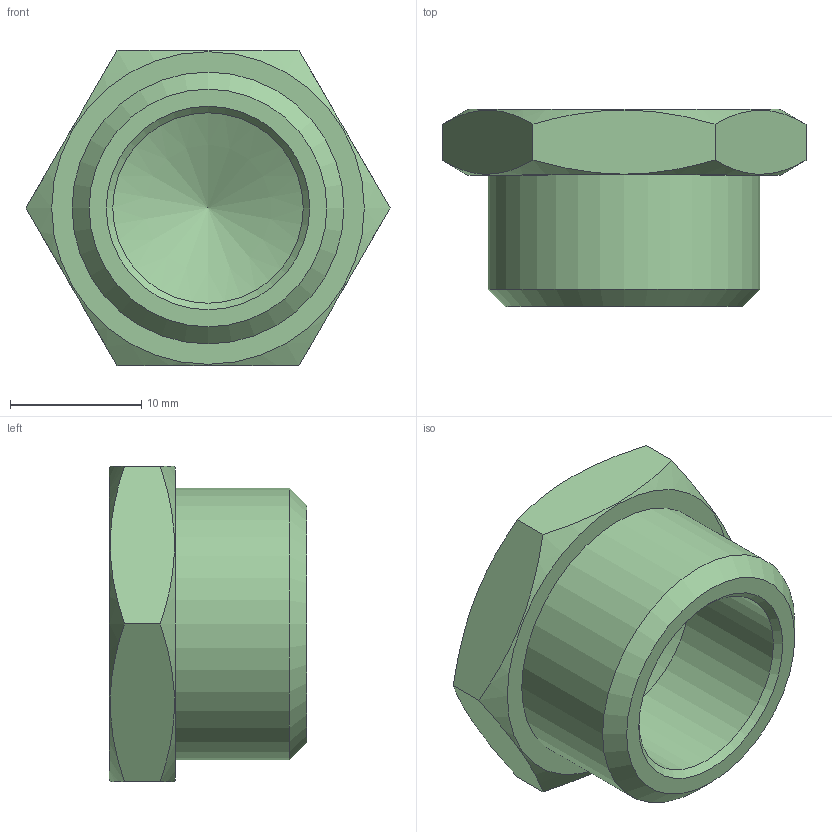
import cadquery as cq
import math

across_flats = 24.0
head_thickness = 5.0
head_face_diameter = 23.8
head_chamfer_angle = 30.0
envelope_clearance = 1.0
hexagon_sides = 6

shank_length = 10.0
shank_diameter = 20.7
shank_chamfer = 1.3

bore_diameter = 14.5
bore_mouth_diameter = 15.5
bore_depth = 9.5
drill_point_angle = 135.0

across_corners = across_flats / math.cos(math.pi / hexagon_sides)


def revolve_about_y(outline):
    """Revolve a closed (radius, y) outline about the Y axis."""
    return (
        cq.Workplane("ZY")
        .polyline(outline)
        .close()
        .revolve(360, (0, 0, 0), (0, 1, 0))
    )


def hex_head():
    """Hexagonal prism, corners on X, with both faces turned down to a cone at the corners."""
    prism = (
        cq.Workplane("XZ")
        .polygon(hexagon_sides, across_corners)
        .extrude(-head_thickness)
    )
    face_radius = head_face_diameter / 2
    envelope_radius = across_corners / 2 + envelope_clearance
    drop = (envelope_radius - face_radius) * math.tan(math.radians(head_chamfer_angle))
    envelope = revolve_about_y([
        (0, 0),
        (face_radius, 0),
        (envelope_radius, drop),
        (envelope_radius, head_thickness - drop),
        (face_radius, head_thickness),
        (0, head_thickness),
    ])
    return prism.intersect(envelope)


def shank():
    """Cylindrical shank with a chamfered free end."""
    radius = shank_diameter / 2
    return revolve_about_y([
        (0, 0),
        (radius, 0),
        (radius, shank_chamfer - shank_length),
        (radius - shank_chamfer, -shank_length),
        (0, -shank_length),
    ])


def bore():
    """Blind drilled hole with a 45 degree mouth chamfer and a conical bottom."""
    radius = bore_diameter / 2
    mouth_radius = bore_mouth_diameter / 2
    mouth_chamfer = mouth_radius - radius
    cone_start = bore_depth - shank_length
    point_height = radius / math.tan(math.radians(drill_point_angle / 2))
    return revolve_about_y([
        (0, -shank_length),
        (mouth_radius, -shank_length),
        (radius, mouth_chamfer - shank_length),
        (radius, cone_start),
        (0, cone_start + point_height),
    ])


result = hex_head().union(shank()).cut(bore())